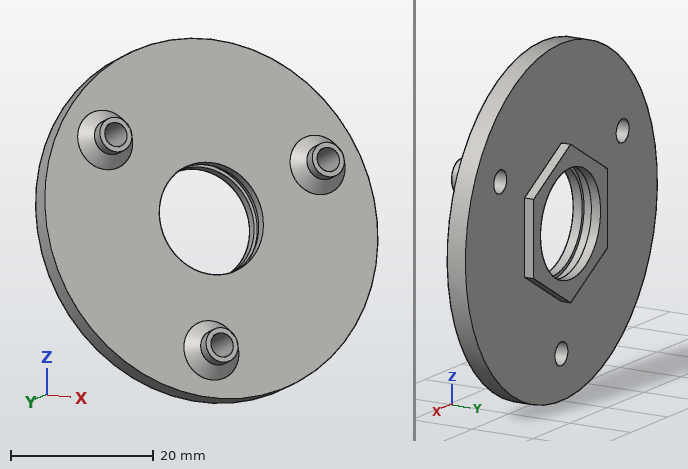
import cadquery as cq
import math

plate_diameter = 52.0
plate_thickness = 3.0

hex_across_flats = 19.95
hex_height = 1.5

bore_diameter = 16.2
groove_diameter = 17.2
groove_start = 1.5
groove_width = plate_thickness - groove_start

boss_count = 3
boss_circle_radius = 19.15
boss_base_diameter = 8.6
boss_tip_diameter = 5.0
boss_hole_diameter = 3.5
boss_cone_height = 1.7
boss_height = 3.5

back_face = plate_thickness + hex_height


def cylinder(diameter, start, length, x=0, z=0):
    """Cylinder along +Y that starts at Y = start."""
    return cq.Workplane(
        cq.Solid.makeCylinder(diameter / 2, length, cq.Vector(x, start, z), cq.Vector(0, 1, 0))
    )


def hex_pad():
    corner_diameter = hex_across_flats / math.cos(math.pi / 6)
    pad = cq.Workplane("XZ").polygon(6, corner_diameter).extrude(-back_face)
    return pad.rotate((0, 0, 0), (0, 1, 0), 30)


def boss(x, z):
    cone = cq.Solid.makeCone(
        boss_base_diameter / 2,
        boss_tip_diameter / 2,
        boss_cone_height,
        cq.Vector(x, 0, z),
        cq.Vector(0, -1, 0),
    )
    return cylinder(boss_tip_diameter, -boss_height, boss_height, x, z).union(cq.Workplane(cone))


result = cylinder(plate_diameter, 0, plate_thickness).union(hex_pad())
result = result.cut(cylinder(bore_diameter, 0, back_face))
result = result.cut(cylinder(groove_diameter, groove_start, groove_width))

for i in range(boss_count):
    angle = math.radians(-90 + i * 360 / boss_count)
    boss_x = boss_circle_radius * math.cos(angle)
    boss_z = boss_circle_radius * math.sin(angle)
    result = result.union(boss(boss_x, boss_z))
    hole = cylinder(boss_hole_diameter, -boss_height, boss_height + plate_thickness, boss_x, boss_z)
    result = result.cut(hole)